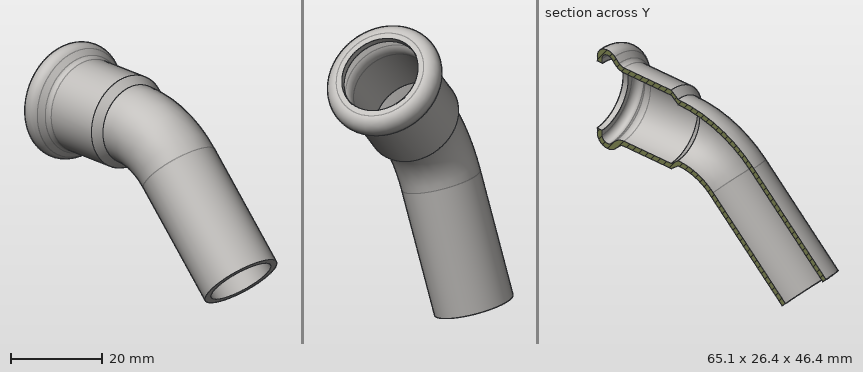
import cadquery as cq
import math

wall = 1.5
pipe_radius = 8.9
bend_angle = 45
bend_radius = 21.5
overall_length = 65.15

socket_radius = 10.55
shoulder_start = 21.1
socket_length = 23.05

bead_round = 3.0
bead_center_radius = 10.2
mouth_radius = 8.9
neck_round = 1.9

flare_angle = math.radians(45)
sin_flare = math.sin(flare_angle)
sin_half = math.sin(flare_angle / 2)
cos_half = math.cos(flare_angle / 2)

bead_end_x = bead_round * (1 + sin_flare)
bead_end_radius = bead_center_radius + bead_round * sin_flare
neck_start_radius = socket_radius + neck_round * (1 - sin_flare)
neck_start_x = bead_end_x + bead_end_radius - neck_start_radius
neck_end_x = neck_start_x + neck_round * sin_flare


def socket_skin(outline, inset):
    """Continue a half profile from the bead to the pipe, inset from the outer skin."""
    bead = bead_round - inset
    neck = neck_round + inset
    neck_center_radius = socket_radius + neck_round
    return (
        outline
        .threePointArc(
            (bead_round - bead * sin_half, bead_center_radius + bead * cos_half),
            (bead_round + bead * sin_flare, bead_center_radius + bead * sin_flare),
        )
        .lineTo(neck_end_x - neck * sin_flare, neck_center_radius - neck * sin_flare)
        .threePointArc(
            (neck_end_x - neck * sin_half, neck_center_radius - neck * cos_half),
            (neck_end_x, socket_radius - inset),
        )
        .lineTo(shoulder_start, socket_radius - inset)
        .lineTo(socket_length, pipe_radius - inset)
        .lineTo(socket_length, 0)
        .close()
        .revolve(360, (0, 0, 0), (1, 0, 0))
    )


def pipe(radius):
    """Solid rod following the bend and the straight tail."""
    angle = math.radians(bend_angle)
    bend_end_x = socket_length + bend_radius * math.sin(angle)
    bend_end_z = -bend_radius * (1 - math.cos(angle))
    tail_end_x = overall_length - pipe_radius * math.sin(angle)
    tail_run = tail_end_x - bend_end_x
    path = (
        cq.Workplane("XZ")
        .moveTo(socket_length, 0)
        .threePointArc(
            (
                socket_length + bend_radius * math.sin(angle / 2),
                -bend_radius * (1 - math.cos(angle / 2)),
            ),
            (bend_end_x, bend_end_z),
        )
        .lineTo(tail_end_x, bend_end_z - tail_run * math.tan(angle))
    )
    return cq.Workplane("YZ", origin=(socket_length, 0, 0)).circle(radius).sweep(path)


body_outline = cq.Workplane("XZ").lineTo(0, bead_center_radius)
body = socket_skin(body_outline, 0).union(pipe(pipe_radius))

bore_outline = (
    cq.Workplane("XZ")
    .lineTo(0, mouth_radius)
    .lineTo(wall, mouth_radius)
    .lineTo(wall, bead_center_radius)
)
bore = socket_skin(bore_outline, wall).union(pipe(pipe_radius - wall))

result = body.cut(bore)